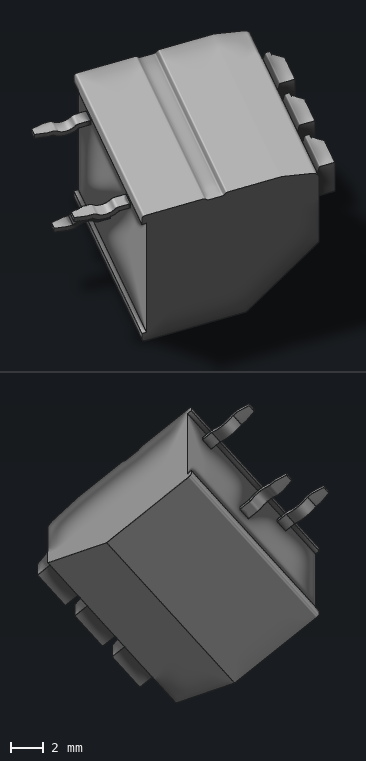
import cadquery as cq
import math


overall_depth = 16.4

width = 12.0
height = 12.0
back_y = 11.2
lip_depth = 0.3
lip_height = 0.79
lip_round = 0.23
top_slope_start_y = 8.79
top_slope_angle = 15
top_slope_round = 0.6
bottom_slope_start_y = 6.48
bottom_slope_angle = 45
bottom_slope_round = 0.2

groove_y = 4.48
groove_mouth = 1.46
groove_depth = 0.23
groove_wall_angle = 45
groove_round = 0.2

pole_count = 3
pole_pitch = 3.5

first_lever_x = 0.9
lever_width = 2.6
lever_length = 1.59
lever_bottom_z = 7.2
lever_top_z = 9.97
lever_step_drop = 0.51
lever_step_y = 11.68
lever_step_angle = 80
lever_step_round = 0.15
notch_length = 0.67
notch_inner_leg = 0.21
notch_outer_leg = 0.77
notch_undercut_angle = 45

first_pin_x = 1.8
pin_width = 0.8
pin_tip_width = 0.5
pin_thickness = 0.4
pin_length = overall_depth - back_y - lever_length
pin_taper_length = 0.8
upper_pin_z = 9.71
lower_pin_z = 4.7
bend_y = -1.59
bend_depth = 0.35
bend_angle = 44


def fillet_at(solid, y, z, radius):
    """Round the edge that runs along X through the point (y, z)."""
    point = (solid.val().BoundingBox().center.x, y, z)
    return solid.edges(cq.selectors.NearestToPointSelector(point)).fillet(radius)


def make_housing():
    top_drop = (back_y - top_slope_start_y) * math.tan(math.radians(top_slope_angle))
    bottom_rise = (back_y - bottom_slope_start_y) * math.tan(math.radians(bottom_slope_angle))
    mouth = groove_mouth / 2
    floor = mouth - groove_depth / math.tan(math.radians(groove_wall_angle))
    groove = [
        (groove_y + mouth, height),
        (groove_y + floor, height - groove_depth),
        (groove_y - floor, height - groove_depth),
        (groove_y - mouth, height),
    ]
    outline = [
        (-lip_depth, 0),
        (bottom_slope_start_y, 0),
        (back_y, bottom_rise),
        (back_y, height - top_drop),
        (top_slope_start_y, height),
        *groove,
        (-lip_depth, height),
        (-lip_depth, height - lip_height),
        (0, height - lip_height),
        (0, lip_height),
        (-lip_depth, lip_height),
    ]
    housing = cq.Workplane("YZ").polyline(outline).close().extrude(width)
    housing = fillet_at(housing, -lip_depth, 0, lip_round)
    housing = fillet_at(housing, -lip_depth, height, lip_round)
    housing = fillet_at(housing, back_y, bottom_rise, bottom_slope_round)
    housing = fillet_at(housing, back_y, height - top_drop, top_slope_round)
    housing = fillet_at(housing, top_slope_start_y, height, top_slope_round)
    for y, z in groove:
        housing = fillet_at(housing, y, z, groove_round)
    return housing


def make_lever(x):
    """Lever with a stepped top and a notch in its outer upper corner."""
    end_y = back_y + lever_length
    step_z = lever_top_z - lever_step_drop
    step_run = lever_step_drop / math.tan(math.radians(lever_step_angle))
    step_foot = (lever_step_y, step_z)
    step_crest = (lever_step_y + step_run, lever_top_z)
    outline = [
        (back_y, lever_bottom_z),
        (end_y, lever_bottom_z),
        (end_y, lever_top_z),
        step_crest,
        step_foot,
        (back_y, step_z),
    ]
    lever = cq.Workplane("YZ").polyline(outline).close().extrude(lever_width)
    lever = fillet_at(lever, *step_foot, lever_step_round)
    lever = fillet_at(lever, *step_crest, lever_step_round)

    def notch_section(plane, leg):
        """Trapezoid as deep as it is wide at the top, with an undercut inner wall."""
        undercut = leg * math.tan(math.radians(notch_undercut_angle))
        corners = [
            (0, lever_top_z),
            (leg, lever_top_z),
            (leg + undercut, lever_top_z - leg),
            (0, lever_top_z - leg),
        ]
        return plane.polyline(corners).close()

    outer = notch_section(cq.Workplane("XZ", origin=(0, end_y, 0)), notch_outer_leg)
    notch = notch_section(outer.workplane(offset=notch_length), notch_inner_leg).loft(ruled=True)
    return lever.cut(notch).translate((x, 0, 0))


def make_pin(x, z, bend):
    """Flat pin with a tapered tip; bend is +1 to bow upward, -1 to bow downward."""
    angle = math.radians(bend_angle)
    outer_radius = bend_depth / (1 - math.cos(angle))
    half_chord = outer_radius * math.sin(angle)
    near_z = z + bend * pin_thickness / 2
    far_z = z - bend * pin_thickness / 2
    start_y = bend_y + half_chord
    end_y = bend_y - half_chord

    def around_corner(turn):
        """Offset from a bend corner to the far side, turned towards the middle of the bow."""
        return pin_thickness * math.sin(turn), near_z - bend * pin_thickness * math.cos(turn)

    half_shift, half_z = around_corner(angle / 2)
    full_shift, full_z = around_corner(angle)
    blade = (
        cq.Workplane("YZ")
        .moveTo(0, near_z)
        .lineTo(start_y, near_z)
        .threePointArc((bend_y, near_z + bend * bend_depth), (end_y, near_z))
        .lineTo(-pin_length, near_z)
        .lineTo(-pin_length, far_z)
        .lineTo(end_y, far_z)
        .threePointArc((end_y + half_shift, half_z), (end_y + full_shift, full_z))
        .threePointArc((bend_y, far_z + bend * bend_depth), (start_y - full_shift, full_z))
        .threePointArc((start_y - half_shift, half_z), (start_y, far_z))
        .lineTo(0, far_z)
        .close()
        .extrude(pin_width / 2, both=True)
    )
    taper_y = -pin_length + pin_taper_length
    plan = [
        (-pin_width / 2, 0),
        (-pin_width / 2, taper_y),
        (-pin_tip_width / 2, -pin_length),
        (pin_tip_width / 2, -pin_length),
        (pin_width / 2, taper_y),
        (pin_width / 2, 0),
    ]
    plan_prism = cq.Workplane("XY").polyline(plan).close().extrude(height)
    return blade.intersect(plan_prism).translate((x, 0, 0))


result = make_housing()
for pole in range(pole_count):
    shift = pole * pole_pitch
    result = result.union(make_lever(first_lever_x + shift))
    if pole % 2 == 0:
        result = result.union(make_pin(first_pin_x + shift, upper_pin_z, -1))
    else:
        result = result.union(make_pin(first_pin_x + shift, lower_pin_z, 1))